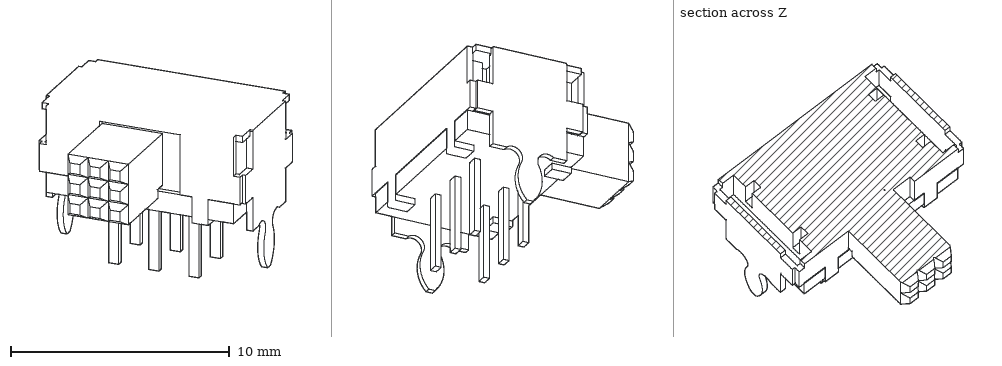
import cadquery as cq
import math


cover_length = 10.3
cover_width = 6.0
sheet = 0.31
bend_radius = 0.06
top_length = 9.99
wing_width = 5.4
upper_length = 9.33
wing_top = -1.92
front_wing_bottom = -3.3
side_wing_bottom = -3.34
side_front = 1.87
side_back = 1.92
side_bottom = -5.01
side_corner_cut = 0.03
tab_width = 0.79
tab_spacing = 5.99
tab_bottom = -4.6
tab_fold = 1.0

notch_radius = 0.49
notch_offset = 0.89
notch_center_z = -5.4
leg_joint_z = -5.59
leg_half_width = 0.62
leg_widest_z = -6.32
leg_tip_z = -7.49
leg_tip_half_width = 0.16

body_length = upper_length
body_bottom = -4.3
base_width = 5.94
core_length = 7.99
slot_depth = 0.5
slot_width = 0.45
slot_center_y = 1.64
slot_floor = -2.86
inner_width = cover_width - 2 * sheet

window_width = 4.01
knob_left = -window_width / 2
knob_width = 3.01
knob_top = -0.54
knob_bottom = knob_top - knob_width
knob_face_y = -6.62
overall_width = 10.0
knob_tip_y = cover_width / 2 - overall_width
relief_depth = 0.24
relief_z = -3.18
relief_step = 0.07
relief_rib_inset = 0.1
teeth_per_side = 3
tooth_pitch = knob_width / teeth_per_side
tooth_tip = tooth_pitch / 2

pin_width = 0.5
pin_thickness = 0.3
pins_per_row = 3
pin_rows = 2
pin_pitch = 2.0
pin_row_spacing = 2.47
pin_bottom = -8.0


def block(x_range, y_range, z_range):
    """Box spanning the given limits."""
    size = [high - low for low, high in (x_range, y_range, z_range)]
    return cq.Workplane("XY").box(*size, centered=False).translate(
        (x_range[0], y_range[0], z_range[0])
    )


def centered_block(length, width, bottom, top):
    """Box centred on the Z axis between two heights."""
    return block((-length / 2, length / 2), (-width / 2, width / 2), (bottom, top))


def make_front_wall():
    """Cover wall on the -Y side, with wings and two tabs folded under the body."""
    outer = -cover_width / 2
    wall_y = (outer, outer + sheet)
    half_upper = upper_length / 2
    half_top = top_length / 2
    wall = block((-half_upper, half_upper), wall_y, (front_wing_bottom, 0))
    wall = wall.union(block((-half_top, half_top), wall_y, (front_wing_bottom, wing_top)))
    wall = wall.edges("|X and <Y and >Z").fillet(bend_radius)
    for x in (-tab_spacing / 2, tab_spacing / 2):
        tab_x = (x - tab_width / 2, x + tab_width / 2)
        tab = block(tab_x, wall_y, (tab_bottom, front_wing_bottom))
        tab = tab.union(block(tab_x, (outer, outer + tab_fold), (tab_bottom, body_bottom)))
        wall = wall.union(tab.edges("|X and <Y and <Z").fillet(bend_radius))
    return wall


def make_side_wall():
    """Cover wall on the -X side, with wings and a rounded snap-in leg."""
    half_wing = wing_width / 2
    notch_start = notch_offset + math.sqrt(notch_radius**2 - (side_bottom - notch_center_z) ** 2)
    joint = notch_offset - math.sqrt(notch_radius**2 - (leg_joint_z - notch_center_z) ** 2)
    notch_top = notch_center_z + notch_radius
    outline = (
        cq.Workplane("YZ")
        .moveTo(-side_front + side_corner_cut, 0)
        .lineTo(-side_front, -bend_radius)
        .lineTo(-side_front, wing_top)
        .lineTo(-half_wing, wing_top)
        .lineTo(-half_wing, side_wing_bottom)
        .lineTo(-side_front, side_wing_bottom)
        .lineTo(-side_front, side_bottom)
        .lineTo(-notch_start, side_bottom)
        .threePointArc((-notch_offset, notch_top), (-joint, leg_joint_z))
        .threePointArc((-leg_half_width, leg_widest_z), (-leg_tip_half_width, leg_tip_z))
        .lineTo(leg_tip_half_width, leg_tip_z)
        .threePointArc((leg_half_width, leg_widest_z), (joint, leg_joint_z))
        .threePointArc((notch_offset, notch_top), (notch_start, side_bottom))
        .lineTo(side_back, side_bottom)
        .lineTo(side_back, side_wing_bottom)
        .lineTo(half_wing, side_wing_bottom)
        .lineTo(half_wing, wing_top)
        .lineTo(side_back, wing_top)
        .lineTo(side_back, -bend_radius)
        .lineTo(side_back - side_corner_cut, 0)
        .close()
    )
    return outline.extrude(sheet).translate((-cover_length / 2, 0, 0))


def make_cover():
    """Top sheet with its four walls; the front wall has the knob window."""
    top = centered_block(top_length, wing_width, -sheet, 0)
    front = make_front_wall()
    back = front.mirror("XZ")
    window = block(
        (-window_width / 2, window_width / 2),
        (-cover_width / 2, -inner_width / 2),
        (front_wing_bottom, -sheet),
    )
    side = make_side_wall()
    return top.union(front.cut(window)).union(back).union(side).union(side.mirror("YZ"))


def make_body():
    """Plastic body: a slotted core inside the cover on a wider base."""
    core = centered_block(core_length, inner_width, front_wing_bottom, -sheet)
    slots = (
        cq.Workplane("XY", origin=(0, 0, -sheet))
        .rarray(core_length, 2 * slot_center_y, 2, 2)
        .rect(2 * slot_depth, slot_width)
        .extrude(slot_floor + sheet)
    )
    base = centered_block(body_length, base_width, body_bottom, front_wing_bottom)
    return core.cut(slots).union(base)


def make_knob():
    """Knob with a stepped relief under its root and pyramid teeth on its end."""
    knob_right = knob_left + knob_width
    relief_y = -cover_width / 2 - relief_depth
    knob_x = (knob_left, knob_right)
    knob = block(knob_x, (knob_face_y, relief_y), (knob_bottom, knob_top))
    root_y = (relief_y, -inner_width / 2)
    rib_x = (knob_left + relief_rib_inset, knob_right - relief_rib_inset)
    knob = knob.union(block(knob_x, root_y, (relief_z + relief_step, knob_top)))
    knob = knob.union(block(rib_x, root_y, (relief_z, knob_top)))
    for column in range(teeth_per_side):
        for row in range(teeth_per_side):
            x = knob_left + (column + 0.5) * tooth_pitch
            z = knob_bottom + (row + 0.5) * tooth_pitch
            tooth = (
                cq.Workplane("XZ", origin=(x, knob_face_y, z))
                .rect(tooth_pitch, tooth_pitch)
                .workplane(offset=knob_face_y - knob_tip_y)
                .rect(tooth_tip, tooth_tip)
                .loft()
            )
            knob = knob.union(tooth)
    return knob


def make_pins():
    """Two rows of three flat pins below the body."""
    return (
        cq.Workplane("XY", origin=(0, 0, body_bottom))
        .rarray(pin_pitch, pin_row_spacing, pins_per_row, pin_rows)
        .rect(pin_width, pin_thickness)
        .extrude(pin_bottom - body_bottom)
    )


result = make_cover().union(make_body()).union(make_knob()).union(make_pins())